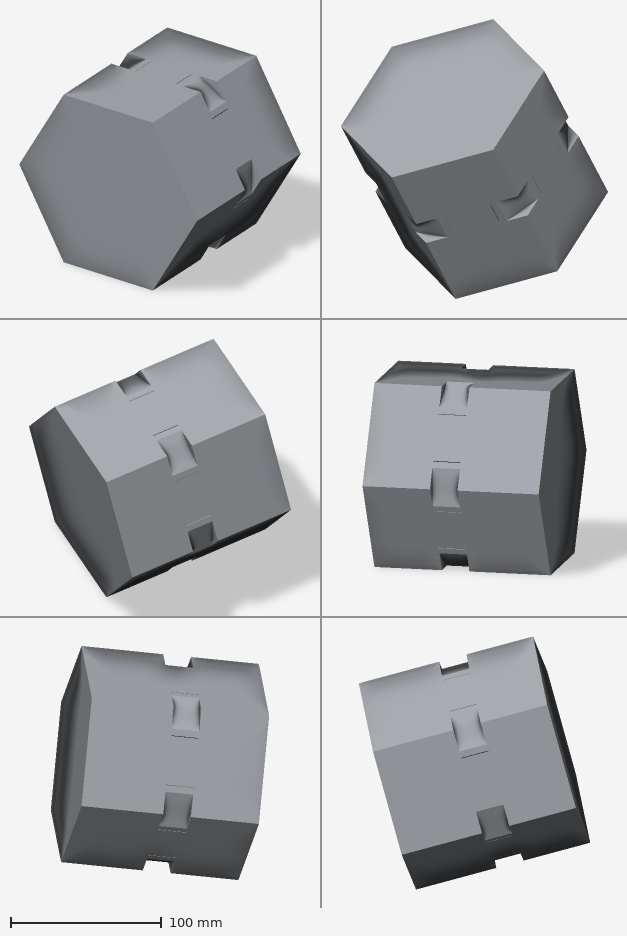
import cadquery as cq
import math

ACROSS_CORNERS = 144.3
FRONT_LENGTH = 55.3
TOOTH_LENGTH = 18.8
REAR_LENGTH = 45.9
CORNER_TOOTH_FLAT = 64.7
SIDE_GAP = 0.36

SIDES = 6
PITCH = 360 / SIDES
REAR_TOOTH_ANGLE = 29.5
FRONT_TOOTH_ANGLE = PITCH - REAR_TOOTH_ANGLE
REACH = ACROSS_CORNERS

REAR_START = FRONT_LENGTH + TOOTH_LENGTH


def hexagon(corner_diameter, start, length, turn=0):
    """Hexagonal prism along +Y, with corners on the X axis before it is turned."""
    prism = cq.Workplane("XZ", origin=(0, start, 0)).polygon(SIDES, corner_diameter).extrude(-length)
    return prism.rotate((0, 0, 0), (0, 1, 0), turn)


def tooth_wedges(tooth_angle, first_angle):
    """Six separate wedges whose sides are set back by half the slit from radial planes."""
    half_angle = math.radians(tooth_angle / 2)
    tip = SIDE_GAP / 2 / math.sin(half_angle)
    half_width = (REACH - tip) * math.tan(half_angle)
    wedge = (
        cq.Workplane("XZ", origin=(0, FRONT_LENGTH, 0))
        .polyline([(tip, 0), (REACH, -half_width), (REACH, half_width)])
        .close()
        .extrude(-TOOTH_LENGTH)
    )
    return [
        wedge.rotate((0, 0, 0), (0, 1, 0), first_angle + i * PITCH)
        for i in range(SIDES)
    ]


def add_teeth(block, profile, tooth_angle, first_angle):
    """Join the wedges, trimmed to the profile, to one block."""
    for wedge in tooth_wedges(tooth_angle, first_angle):
        block = block.union(wedge.intersect(profile))
    return block


def front_block():
    """Front block with teeth at the hexagon corners, each corner cut off flat."""
    corner_flats = hexagon(
        2 * CORNER_TOOTH_FLAT / math.cos(math.pi / SIDES), FRONT_LENGTH, TOOTH_LENGTH, turn=PITCH / 2
    )
    profile = hexagon(ACROSS_CORNERS, FRONT_LENGTH, TOOTH_LENGTH).intersect(corner_flats)
    base = hexagon(ACROSS_CORNERS, 0, FRONT_LENGTH)
    return add_teeth(base, profile, FRONT_TOOTH_ANGLE, first_angle=0)


def rear_block():
    """Rear block with teeth at the middle of each hexagon side."""
    profile = hexagon(ACROSS_CORNERS, FRONT_LENGTH, TOOTH_LENGTH)
    base = hexagon(ACROSS_CORNERS, REAR_START, REAR_LENGTH)
    return add_teeth(base, profile, REAR_TOOTH_ANGLE, first_angle=PITCH / 2)


front = front_block()
rear = rear_block()

result = cq.Compound.makeCompound([front.val(), rear.val()])